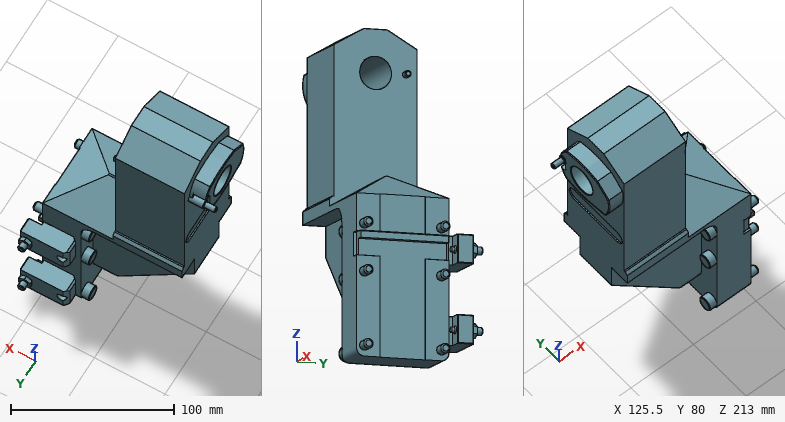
import cadquery as cq
import math


BODY_WIDTH = 60.0
BODY_BACK = 98.8
EAVES_Z = 101.2
ROOF_ANGLE = 30.0
RIDGE_WIDTH = 1.2
ARM_UNDERSIDE = 97.5
ARM_FILLET = 10.0

COLUMN_TOP = 213.0
COLUMN_WIDTH = 54.0
COLUMN_DEPTH = 49.0
CROWN_DROP = 11.2
CROWN_ANGLE = 30.0
SHOULDER_Z = 107.7
SHOULDER_CHAMFER = 2.0
LABEL_Z = 137.0
LABEL_LENGTH = 50.5
LABEL_HEIGHT = 10.0
LABEL_DEPTH = 1.0

PLATE_FRONT = 71.7
PLATE_CORNER_RADIUS = 5.0
BACK_RECESS_WIDTH = 29.5
BACK_RECESS_DEPTH = 0.5
WEB_WIDTH = 30.0
WEB_BOTTOM = 16.0
WEB_CORNER_RADIUS = 10.0
WEB_FRONT_EDGE_Z = 78.2

SCREW_Y = 25.0
SCREW_HEIGHTS = (6.6, 52.7, 82.5)
SCREW_DIAMETER = 6.0
SCREW_TIP = 107.3
SCREW_HEAD_DIAMETER = 10.0
SCREW_HEAD_HEIGHT = 5.8
SCREW_CHAMFER = 1.0
SCREW_HEAD_CHAMFER = 0.5

BORE_Z = 185.75
BORE_DIAMETER = 20.62
BORE_CHAMFER = 0.4
BOSS_LENGTH = 11.3
BOSS_RISE = 17.4
BOSS_DROP = 16.0
BOSS_FLAT_HALF = 4.2
BOSS_SLOPE = 10.0
BOSS_CORNER_Y = 14.6
BOSS_PIN_SIDE_RADIUS = 21.0
BOSS_FAR_RADIUS = 26.2
BOSS_FAR_TOP = (-25.4, 6.9)
BOSS_FAR_BOTTOM_Y = -22.4
BOSS_CHAMFER = 0.6
PIN_Y = 19.5
PIN_DIAMETER = 4.0
PIN_FRONT = -18.2
PIN_BACK = 54.0
PIN_CHAMFER = 0.6
BUSHING_DIAMETER = 6.0
BUSHING_CHAMFER = 0.5
BUSHING_FRONT = -10.5
POCKET_INNER_Y = 15.3
POCKET_HEIGHT = 13.5
POCKET_CORNER_RADIUS = 2.0
POCKET_FLOOR = -2.0

KEY_FRONT = 93.2
KEY_BOTTOM = 62.7
KEY_TOP = 77.6
KEY_LENGTH = 57.2
KEY_CHAMFER = 1.3
KEY_STEM_BACK = BODY_BACK - BACK_RECESS_DEPTH
HOOK_BACK = 102.6
HOOK_BOTTOM = 73.0
HOOK_CHAMFER = 0.6

CLAMP_HEIGHTS = (19.0, 69.0)
CLAMP_FRONT = 73.6
CLAMP_BACK = SCREW_TIP
CLAMP_OUTER_Y = 43.0
CLAMP_HEIGHT = 18.0
CLAMP_NOSE_CHAMFER = 3.0
CLAMP_NOSE_TAPER = (1.5, 1.0)
CLAMP_STEP_Y = 32.6
CLAMP_STEP_X = 98.0
CLAMP_BACK_CHAMFER = 0.5
CLAMP_HOLE_X = 78.0
CLAMP_HOLE_DIAMETER = 6.0
STUD_X = 102.6
STUD_DIAMETER = 5.0
STUD_END_Y = 50.0
STUD_CHAMFER = 0.6
STUD_TIP_DIAMETER = 3.5
STUD_CONE_END_Y = 31.8
STUD_TIP_Y = 30.0
NUT_ACROSS_FLATS = 8.0
NUT_THICKNESS = 2.6

HALF_WIDTH = BODY_WIDTH / 2


def box(x_range, y_range, z_range):
    """Box spanning the given (low, high) pairs."""
    (x0, x1), (y0, y1), (z0, z1) = x_range, y_range, z_range
    return cq.Workplane("XY").box(x1 - x0, y1 - y0, z1 - z0, centered=False).translate((x0, y0, z0))


def rod_x(x0, x1, y, z, diameter):
    """Cylinder along X."""
    return cq.Workplane("YZ", origin=(x0, y, z)).circle(diameter / 2).extrude(x1 - x0)


def rod_y(y0, y1, x, z, diameter):
    """Cylinder along Y."""
    return cq.Workplane("XZ", origin=(x, y0, z)).circle(diameter / 2).extrude(y0 - y1)


def make_column():
    half = COLUMN_WIDTH / 2
    crown_half = half - CROWN_DROP / math.tan(math.radians(CROWN_ANGLE))
    ledge_half = HALF_WIDTH - SHOULDER_CHAMFER
    right_side = [
        (HALF_WIDTH, ARM_UNDERSIDE),
        (HALF_WIDTH, SHOULDER_Z - SHOULDER_CHAMFER),
        (ledge_half, SHOULDER_Z),
        (half, SHOULDER_Z),
        (half, COLUMN_TOP - CROWN_DROP),
        (crown_half, COLUMN_TOP),
    ]
    left_side = [(-y, z) for y, z in reversed(right_side)]
    column = cq.Workplane("YZ").polyline(right_side + left_side).close().extrude(COLUMN_DEPTH)
    label = (
        cq.Workplane("YZ", origin=(0, 0, LABEL_Z))
        .slot2D(LABEL_LENGTH, LABEL_HEIGHT)
        .extrude(LABEL_DEPTH)
    )
    return column.cut(label)


def make_roof():
    """Ridge roof behind the column, hipped at the back."""
    run = HALF_WIDTH - RIDGE_WIDTH / 2
    ridge_z = EAVES_Z + run * math.tan(math.radians(ROOF_ANGLE))
    gable = (
        cq.Workplane("YZ")
        .polyline([
            (-HALF_WIDTH, EAVES_Z),
            (HALF_WIDTH, EAVES_Z),
            (RIDGE_WIDTH / 2, ridge_z),
            (-RIDGE_WIDTH / 2, ridge_z),
        ])
        .close()
        .extrude(BODY_BACK)
    )
    hip = (
        cq.Workplane("XZ", origin=(0, HALF_WIDTH, 0))
        .polyline([(0, EAVES_Z), (BODY_BACK, EAVES_Z), (BODY_BACK - run, ridge_z), (0, ridge_z)])
        .close()
        .extrude(BODY_WIDTH)
    )
    return gable.intersect(hip)


def make_plate_and_arm():
    """Mounting plate with the arm that carries the column, joined by a fillet below the arm."""
    profile = (
        cq.Workplane("XZ", origin=(0, HALF_WIDTH, 0))
        .moveTo(0, EAVES_Z)
        .lineTo(BODY_BACK, EAVES_Z)
        .lineTo(BODY_BACK, 0)
        .lineTo(PLATE_FRONT, 0)
        .lineTo(PLATE_FRONT, ARM_UNDERSIDE - ARM_FILLET)
        .radiusArc((PLATE_FRONT - ARM_FILLET, ARM_UNDERSIDE), -ARM_FILLET)
        .lineTo(0, ARM_UNDERSIDE)
        .close()
        .extrude(BODY_WIDTH)
    )
    return profile.edges("|X and <Z").fillet(PLATE_CORNER_RADIUS)


def make_web():
    """Central web below the arm, round at the bottom and sloped at 45 degrees in front."""
    web = box((0, PLATE_FRONT), (-WEB_WIDTH / 2, WEB_WIDTH / 2), (WEB_BOTTOM, ARM_UNDERSIDE))
    web = web.edges("|X and <Z").fillet(WEB_CORNER_RADIUS)
    slope = (
        cq.Workplane("XZ", origin=(0, HALF_WIDTH, 0))
        .polyline([(0, 0), (WEB_FRONT_EDGE_Z, 0), (0, WEB_FRONT_EDGE_Z)])
        .close()
        .extrude(BODY_WIDTH)
    )
    return web.cut(slope)


def make_screw(y, z):
    head = rod_x(PLATE_FRONT - SCREW_HEAD_HEIGHT, PLATE_FRONT, y, z, SCREW_HEAD_DIAMETER)
    head = head.faces("<X").chamfer(SCREW_HEAD_CHAMFER)
    shank = rod_x(PLATE_FRONT, SCREW_TIP, y, z, SCREW_DIAMETER)
    shank = shank.faces(">X").chamfer(SCREW_CHAMFER)
    return head.union(shank)


def make_boss():
    """Boss around the bore, with a pocket on the pin side."""
    slope = math.tan(math.radians(BOSS_SLOPE))
    corner_drop = (BOSS_CORNER_Y - BOSS_FLAT_HALF) * slope
    corner_top = BOSS_RISE - corner_drop
    corner_bottom = corner_drop - BOSS_DROP
    far_bottom = (-BOSS_FAR_BOTTOM_Y - BOSS_FLAT_HALF) * slope - BOSS_DROP
    boss = (
        cq.Workplane("YZ", origin=(-BOSS_LENGTH, 0, BORE_Z))
        .moveTo(BOSS_CORNER_Y, corner_top)
        .lineTo(BOSS_FLAT_HALF, BOSS_RISE)
        .lineTo(-BOSS_FLAT_HALF, BOSS_RISE)
        .lineTo(-BOSS_CORNER_Y, corner_top)
        .lineTo(*BOSS_FAR_TOP)
        .threePointArc((-BOSS_FAR_RADIUS, 0), (BOSS_FAR_BOTTOM_Y, far_bottom))
        .lineTo(-BOSS_FLAT_HALF, -BOSS_DROP)
        .lineTo(BOSS_FLAT_HALF, -BOSS_DROP)
        .lineTo(BOSS_CORNER_Y, corner_bottom)
        .threePointArc((BOSS_PIN_SIDE_RADIUS, 0), (BOSS_CORNER_Y, corner_top))
        .close()
        .extrude(BOSS_LENGTH)
    )
    boss = boss.faces("<X").chamfer(BOSS_CHAMFER)
    half = POCKET_HEIGHT / 2
    pocket = box(
        (-BOSS_LENGTH, POCKET_FLOOR),
        (POCKET_INNER_Y, HALF_WIDTH),
        (BORE_Z - half, BORE_Z + half),
    )
    pocket = pocket.edges("|X and <Y").fillet(POCKET_CORNER_RADIUS)
    return boss.cut(pocket)


def make_bore():
    """Through bore, countersunk at the boss face."""
    bore = rod_x(-BOSS_LENGTH, COLUMN_DEPTH, 0, BORE_Z, BORE_DIAMETER)
    countersink = (
        cq.Workplane("YZ", origin=(-BOSS_LENGTH, 0, BORE_Z))
        .circle(BORE_DIAMETER / 2 + BORE_CHAMFER)
        .extrude(BORE_CHAMFER, taper=45)
    )
    return bore.union(countersink)


def make_pin():
    """Locating pin through the column, in a bushing beside the boss."""
    pin = rod_x(PIN_FRONT, PIN_BACK, PIN_Y, BORE_Z, PIN_DIAMETER)
    pin = pin.faces("<X or >X").chamfer(PIN_CHAMFER)
    bushing = rod_x(BUSHING_FRONT, 0, PIN_Y, BORE_Z, BUSHING_DIAMETER)
    bushing = bushing.faces("<X").chamfer(BUSHING_CHAMFER)
    return pin.union(bushing)


def make_back_recess():
    """Shallow recess up the middle of the back face."""
    half = BACK_RECESS_WIDTH / 2
    return box((KEY_STEM_BACK, BODY_BACK), (-half, half), (0, COLUMN_TOP))


def make_key_slot():
    return box((KEY_FRONT, BODY_BACK), (-HALF_WIDTH, HALF_WIDTH), (KEY_BOTTOM, KEY_TOP))


def make_key():
    y_range = (-KEY_LENGTH / 2, KEY_LENGTH / 2)
    stem = box((KEY_FRONT, KEY_STEM_BACK), y_range, (KEY_BOTTOM, KEY_TOP))
    stem = stem.edges("|Z and <X").chamfer(KEY_CHAMFER)
    hook = box((KEY_STEM_BACK, HOOK_BACK), y_range, (HOOK_BOTTOM, KEY_TOP))
    hook = hook.edges("|Y and >X and >Z").chamfer(HOOK_CHAMFER)
    return stem.union(hook)


def make_clamp(z):
    """Clamp block with a hexagon nut and a stud that ends in a cone and a thin tip."""
    nose = CLAMP_NOSE_CHAMFER
    block = (
        cq.Workplane("XY", origin=(0, 0, z - CLAMP_HEIGHT / 2))
        .polyline([
            (CLAMP_FRONT, HALF_WIDTH + nose),
            (CLAMP_FRONT, CLAMP_OUTER_Y - nose),
            (CLAMP_FRONT + nose, CLAMP_OUTER_Y),
            (CLAMP_BACK, CLAMP_OUTER_Y),
            (CLAMP_BACK, CLAMP_STEP_Y),
            (CLAMP_STEP_X, CLAMP_STEP_Y),
            (CLAMP_STEP_X, HALF_WIDTH),
            (CLAMP_FRONT + nose, HALF_WIDTH),
        ])
        .close()
        .extrude(CLAMP_HEIGHT)
    )
    block = block.faces(">X").chamfer(CLAMP_BACK_CHAMFER)
    taper_length, taper_drop = CLAMP_NOSE_TAPER
    for side in (-1, 1):
        edge_z = z + side * CLAMP_HEIGHT / 2
        wedge = (
            cq.Workplane("XZ", origin=(0, CLAMP_OUTER_Y, 0))
            .polyline([
                (CLAMP_FRONT, edge_z),
                (CLAMP_FRONT + taper_length, edge_z),
                (CLAMP_FRONT, edge_z - side * taper_drop),
            ])
            .close()
            .extrude(CLAMP_OUTER_Y - HALF_WIDTH)
        )
        block = block.cut(wedge)
    block = block.cut(rod_y(HALF_WIDTH, CLAMP_OUTER_Y, CLAMP_HOLE_X, z, CLAMP_HOLE_DIAMETER))

    nut_diameter = NUT_ACROSS_FLATS / math.cos(math.pi / 6)
    nut = (
        cq.Workplane("XZ", origin=(STUD_X, CLAMP_OUTER_Y, z))
        .transformed(rotate=(0, 0, 90))
        .polygon(6, nut_diameter)
        .extrude(-NUT_THICKNESS)
    )
    stud = rod_y(CLAMP_STEP_Y, STUD_END_Y, STUD_X, z, STUD_DIAMETER)
    stud = stud.faces(">Y").chamfer(STUD_CHAMFER)
    cone = (
        cq.Workplane("XZ", origin=(STUD_X, CLAMP_STEP_Y, z))
        .circle(STUD_DIAMETER / 2)
        .workplane(offset=CLAMP_STEP_Y - STUD_CONE_END_Y)
        .circle(STUD_TIP_DIAMETER / 2)
        .loft()
    )
    tip = rod_y(STUD_TIP_Y, STUD_CONE_END_Y, STUD_X, z, STUD_TIP_DIAMETER)
    return block.union(nut).union(stud).union(cone).union(tip)


body = make_plate_and_arm().union(make_column()).union(make_roof()).union(make_web())
body = body.cut(make_back_recess())
body = body.cut(make_key_slot()).union(make_key())
body = body.union(make_boss()).cut(make_bore())
body = body.union(make_pin())
for screw_z in SCREW_HEIGHTS:
    for screw_y in (-SCREW_Y, SCREW_Y):
        body = body.union(make_screw(screw_y, screw_z))
for clamp_z in CLAMP_HEIGHTS:
    body = body.union(make_clamp(clamp_z))

result = body